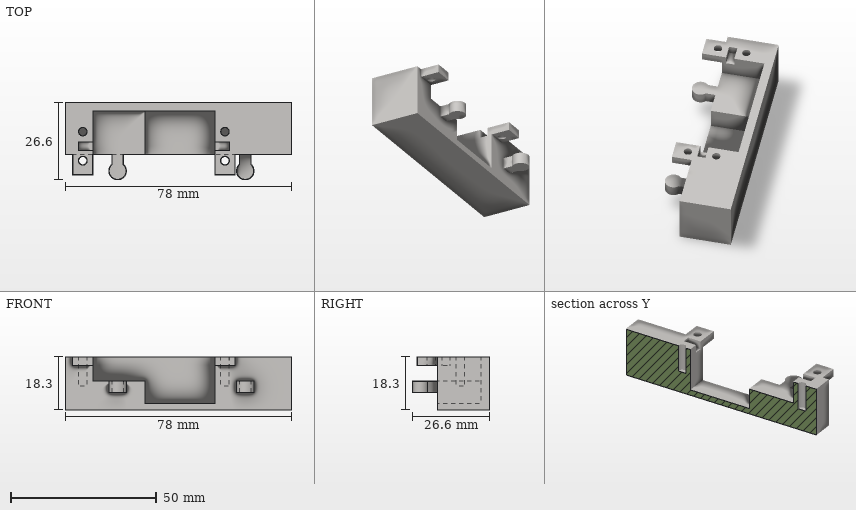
import cadquery as cq

BODY_LENGTH = 78.0
BODY_DEPTH = 18.0
BODY_HEIGHT = 18.3

BACK_WALL = 3.0
POCKET_START = 9.5
POCKET_LENGTH = 42.0
POCKET_END = POCKET_START + POCKET_LENGTH
POCKET_DEPTH = BODY_DEPTH - BACK_WALL
SHELF_LENGTH = 18.0
SHELF_HEIGHT = 10.0
DEEP_FLOOR_HEIGHT = 2.3

TAB_WIDTH = 7.0
TAB_LENGTH = 7.0
TAB_THICKNESS = 3.0

HOLE_DIAMETER = 2.9
HOLE_FROM_POCKET = TAB_WIDTH / 2
TAB_HOLE_Y = -2.1
HOLE_PITCH = 10.0
BODY_HOLE_Y = TAB_HOLE_Y + HOLE_PITCH
BODY_HOLE_DEPTH = 10.0

NOTCH_LENGTH = 5.0
NOTCH_WIDTH = 2.9
NOTCH_FRONT_Y = 1.5
NOTCH_DEPTH = TAB_THICKNESS

LUG_CENTERS_X = (18.0, 62.0)
LUG_HEAD_DIAMETER = 6.0
LUG_PROJECTION = 8.64
LUG_NECK_WIDTH = 4.0
LUG_THICKNESS = 4.0


def box(x, y, z, length, depth, height):
    """Box with its minimum corner at (x, y, z)."""
    return cq.Workplane("XY").box(length, depth, height, centered=False).translate((x, y, z))


def pocket():
    """Shallow cut over the shelf joined to the deeper cut beside it."""
    deep_start = POCKET_START + SHELF_LENGTH
    shallow = box(POCKET_START, 0, SHELF_HEIGHT, POCKET_LENGTH, POCKET_DEPTH, BODY_HEIGHT - SHELF_HEIGHT)
    deep = box(
        deep_start, 0, DEEP_FLOOR_HEIGHT,
        POCKET_END - deep_start, POCKET_DEPTH, BODY_HEIGHT - DEEP_FLOOR_HEIGHT,
    )
    return shallow.union(deep)


def tab(x):
    """Flat tab in front of the body, its left edge at x."""
    return box(x, -TAB_LENGTH, BODY_HEIGHT - TAB_THICKNESS, TAB_WIDTH, TAB_LENGTH, TAB_THICKNESS)


def notch(x):
    """Rectangular notch cutter, its left edge at x."""
    return box(x, NOTCH_FRONT_Y, BODY_HEIGHT - NOTCH_DEPTH, NOTCH_LENGTH, NOTCH_WIDTH, NOTCH_DEPTH)


def hole(x, y, depth):
    """Vertical hole cutter going down from the top."""
    top = cq.Workplane("XY", origin=(x, y, BODY_HEIGHT))
    return top.circle(HOLE_DIAMETER / 2).extrude(-depth)


def lug(x):
    """Round head on a straight neck."""
    head_y = LUG_HEAD_DIAMETER / 2 - LUG_PROJECTION
    bottom = SHELF_HEIGHT - LUG_THICKNESS
    neck = box(x - LUG_NECK_WIDTH / 2, head_y, bottom, LUG_NECK_WIDTH, -head_y, LUG_THICKNESS)
    head = cq.Workplane("XY", origin=(x, head_y, bottom)).circle(LUG_HEAD_DIAMETER / 2).extrude(LUG_THICKNESS)
    return neck.union(head)


result = box(0, 0, 0, BODY_LENGTH, BODY_DEPTH, BODY_HEIGHT).cut(pocket())

for tab_x in (POCKET_START - TAB_WIDTH, POCKET_END):
    result = result.union(tab(tab_x))

for lug_x in LUG_CENTERS_X:
    result = result.union(lug(lug_x))

for notch_x in (POCKET_START - NOTCH_LENGTH, POCKET_END):
    result = result.cut(notch(notch_x))

for hole_x in (POCKET_START - HOLE_FROM_POCKET, POCKET_END + HOLE_FROM_POCKET):
    result = result.cut(hole(hole_x, TAB_HOLE_Y, TAB_THICKNESS))
    result = result.cut(hole(hole_x, BODY_HOLE_Y, BODY_HOLE_DEPTH))